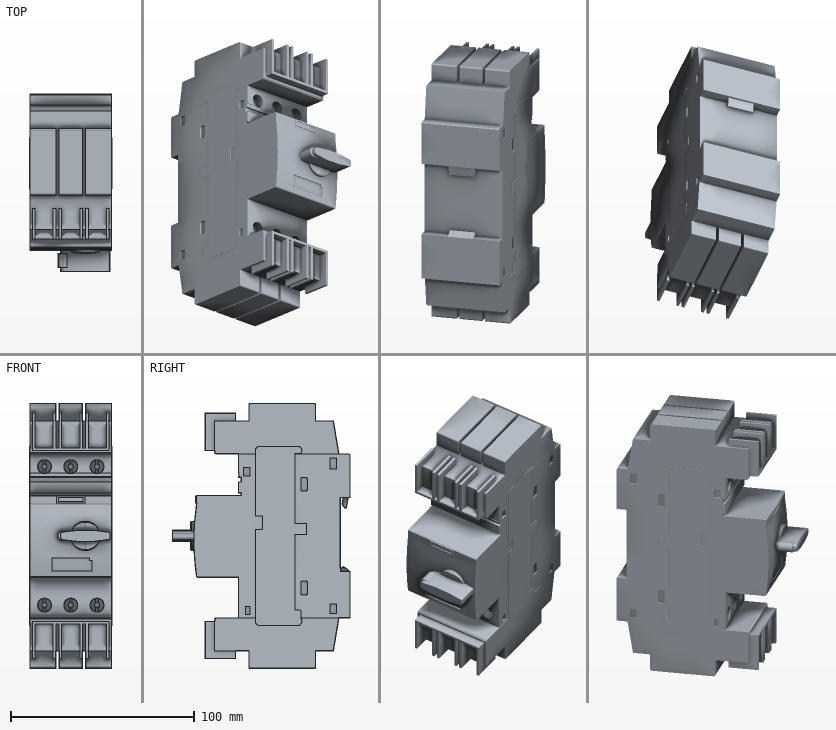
import cadquery as cq


COVER_WIDTH = 45.0
TERMINAL_WIDTH = 44.7
BASE_WIDTH = 44.5

BASE_TOP = 44.7
BASE_FRONT = 60.9
BASE_CHAMFER = 0.6
RAIL_DEPTH = 5.3
RAIL_TOP = 20.8
RAIL_BOTTOM = -19.5
HOOK_WIDTH = 14.5

HOUSING_TOP = 22.1
HOUSING_BOTTOM = -22.5
HOUSING_FACE = 83.7
HOUSING_BULGE = 85.1
HOUSING_CURVE_TOP = 17.5
HOUSING_CHAMFER = 0.5
GROOVE_DEPTH = 1.5
GROOVE_TOP = 32.0
GROOVE_BOTTOM = 29.5
UNDERCUT_HEIGHT = 1.3
STEP_DEPTH = 0.3
STEP_BOTTOM = 32.4
STEP_TOP = 34.3

BLOCK_TOP = 72.3
BLOCK_BACK = 18.8
BLOCK_FRONT = 55.2
BLOCK_FILLET = 0.9
SHOULDER_TOP = 62.7
SHOULDER_BACK = 9.1
SHOULDER_ROOT = 6.0
SHOULDER_FRONT = 73.9
SHOULDER_CHAMFER = 0.7
POLE_GAP = 1.7
POLE_GAP_X = 7.2
POLE_GAP_MARGIN = 0.5

GUARD_BOTTOM = 46.5
GUARD_TOP = 66.9
GUARD_BACK = 62.5
GUARD_FRONT = 79.0
GUARD_HALF_WIDTH = 20.8
GUARD_WALL = 1.5

POLE_PITCH = 14.3
SCREW_Z = 37.7
WELL_RADIUS = 3.8
WELL_DEPTH = 5.8
SCREW_HEAD_HEIGHT = 1.2
SCREW_EAVE = 0.3
SCREW_PIN_RADIUS = 1.5
SCREW_SLOT = 1.5

COVER_BACK = 30.0
COVER_FRONT = 51.5
COVER_TOP = 48.7
COVER_CORNER = 1.2
COVER_FOOT_BACK = 26.7
COVER_FOOT_LIP = 26.2
COVER_FOOT_TIP = 27.5
COVER_LIP_Z = 46.8
COVER_FOOT_Z = 45.0
LOWER_FOOT_TOP = -40.3
FOOT_BEVEL = 0.6
REAR_TAB_DEPTH = 23.8
REAR_TAB_BOTTOM = 0.7
REAR_TAB_TOP = 6.6
FRONT_NOTCH_DEPTH = 47.7
FRONT_NOTCH_BOTTOM = 3.5
FRONT_NOTCH_TOP = 10.8

POCKET_DEPTH = 1.0

HANDLE_X = 8.0
KNOB_RADIUS = 8.0
KNOB_RIM = 0.6
KNOB_EAVE = 86.3
KNOB_CROWN = 87.0
HANDLE_FRONT = 96.8
GRIP_LEFT = -5.5
GRIP_RIGHT = 21.4
GRIP_END_HALF = 1.9
GRIP_MIDDLE_HALF = 3.2
GRIP_CORNER = 0.7
GRIP_TIP_RADIUS = 1.6
PIN_X = -4.3
PIN_FLAT_END = -2.0
PIN_RADIUS = 2.6
PIN_BACK = 87.0
PIN_FRONT = 94.5

NAME_PLATE_WIDTH = 15.3
NAME_PLATE_BOTTOM = 17.9
NAME_PLATE_FRONT = 84.1
NAME_PLATE_BORDER = 0.9
LABEL_LEFT = -10.1
LABEL_RIGHT = 11.7
LABEL_TOP = -12.0
LABEL_BOTTOM = -19.1
LABEL_NOTCH = 1.5
LABEL_RECESS = 0.6


def box(x_range, depth_range, z_range):
    """Box between pairs of X, depth and Z limits."""
    x0, x1 = x_range
    d0, d1 = depth_range
    z0, z1 = z_range
    return cq.Workplane("XY").box(x1 - x0, d1 - d0, z1 - z0, centered=False).translate((x0, -d1, z0))


def slab(depth_z_points, width):
    """Outline of (depth, z) points extruded across the width, centred on X = 0."""
    outline = [(-depth, z) for depth, z in depth_z_points]
    return cq.Workplane("YZ").polyline(outline).close().extrude(width / 2, both=True)


def front_plane(depth):
    """Plane facing the front, with X across and Z up, at the given depth."""
    return cq.Workplane("XZ", origin=(0, -depth, 0))


def ridge(half_width, back, eave, crest):
    """Gabled prism along Z, whose crest on X = 0 stands in front of its eaves."""
    gable = [
        (-half_width, -back),
        (-half_width, -eave),
        (0, -crest),
        (half_width, -eave),
        (half_width, -back),
    ]
    return cq.Workplane("XY").polyline(gable).close().extrude(half_width, both=True)


def full_width(width):
    return (-width / 2, width / 2)


def make_base():
    base = slab(
        [
            (BASE_CHAMFER, BASE_TOP),
            (0, BASE_TOP - BASE_CHAMFER),
            (0, RAIL_TOP),
            (RAIL_DEPTH, RAIL_TOP),
            (RAIL_DEPTH, RAIL_BOTTOM),
            (0, RAIL_BOTTOM),
            (0, -BASE_TOP),
            (BASE_FRONT, -BASE_TOP),
            (BASE_FRONT, BASE_TOP),
        ],
        BASE_WIDTH,
    )
    upper_hook = slab([(1.0, RAIL_TOP), (2.0, 15.3), (3.0, 15.3), (4.3, 17.3), (3.8, RAIL_TOP)], HOOK_WIDTH)
    lower_hook = slab(
        [(0, RAIL_BOTTOM), (3.5, -16.8), (RAIL_DEPTH, -17.8), (RAIL_DEPTH, RAIL_BOTTOM)],
        HOOK_WIDTH,
    )
    return base.union(upper_hook).union(lower_hook)


def make_housing():
    face = -HOUSING_FACE
    curve_middle = (HOUSING_CURVE_TOP + HOUSING_BOTTOM) / 2
    inside = -BASE_FRONT + GROOVE_DEPTH
    return (
        cq.Workplane("YZ")
        .moveTo(inside, HOUSING_TOP)
        .lineTo(face + HOUSING_CHAMFER, HOUSING_TOP)
        .lineTo(face, HOUSING_TOP - HOUSING_CHAMFER)
        .lineTo(face, HOUSING_CURVE_TOP)
        .threePointArc((-HOUSING_BULGE, curve_middle), (face, HOUSING_BOTTOM + HOUSING_CHAMFER))
        .lineTo(face + HOUSING_CHAMFER, HOUSING_BOTTOM)
        .lineTo(inside, HOUSING_BOTTOM)
        .close()
        .extrude(BASE_WIDTH / 2, both=True)
    )


def make_front_grooves():
    depths = (BASE_FRONT - GROOVE_DEPTH, BASE_FRONT)
    groove = box(full_width(BASE_WIDTH), depths, (GROOVE_BOTTOM, GROOVE_TOP))
    undercut = box(full_width(BASE_WIDTH), depths, (HOUSING_TOP, HOUSING_TOP + UNDERCUT_HEIGHT))
    step = box(full_width(BASE_WIDTH), (BASE_FRONT - STEP_DEPTH, BASE_FRONT), (STEP_BOTTOM, STEP_TOP))
    return groove.union(undercut).union(step)


def make_terminal_block():
    shoulder = slab(
        [
            (SHOULDER_ROOT, BASE_TOP),
            (SHOULDER_BACK, SHOULDER_TOP),
            (SHOULDER_FRONT, SHOULDER_TOP),
            (SHOULDER_FRONT, BASE_TOP + SHOULDER_CHAMFER),
            (SHOULDER_FRONT - SHOULDER_CHAMFER, BASE_TOP),
        ],
        TERMINAL_WIDTH,
    )
    block = box(full_width(TERMINAL_WIDTH), (BLOCK_BACK, BLOCK_FRONT), (BASE_TOP, BLOCK_TOP))
    block = block.edges("|X and >Z").fillet(BLOCK_FILLET)
    terminal = shoulder.union(block)
    for x in (-POLE_GAP_X, POLE_GAP_X):
        gap = box(
            (x - POLE_GAP / 2, x + POLE_GAP / 2),
            (BLOCK_BACK - POLE_GAP_MARGIN, BLOCK_FRONT),
            (SHOULDER_TOP, BLOCK_TOP),
        )
        terminal = terminal.cut(gap)
    return terminal


def make_finger_guard():
    heights = (GUARD_BOTTOM, GUARD_TOP)
    guard = box(
        (-GUARD_HALF_WIDTH, GUARD_HALF_WIDTH),
        (SHOULDER_FRONT, GUARD_FRONT),
        (GUARD_BOTTOM, GUARD_BOTTOM + GUARD_WALL),
    )
    gap_side = POLE_GAP_X + POLE_GAP / 2
    middle_side = POLE_GAP_X - POLE_GAP / 2
    wall_starts = [GUARD_HALF_WIDTH - GUARD_WALL, gap_side, middle_side - GUARD_WALL]
    for start in wall_starts:
        end = start + GUARD_WALL
        for limits in ((start, end), (-end, -start)):
            guard = guard.union(box(limits, (GUARD_BACK, GUARD_FRONT), heights))
    return guard


def make_side_cover():
    """Cover wrapping both sides, with a rear tab, a front notch and a small foot at each end."""
    shoulder = COVER_TOP - COVER_CORNER
    return slab(
        [
            (COVER_FOOT_LIP, COVER_LIP_Z),
            (COVER_FOOT_TIP, COVER_TOP),
            (COVER_FRONT - COVER_CORNER, COVER_TOP),
            (COVER_FRONT, shoulder),
            (COVER_FRONT, FRONT_NOTCH_TOP),
            (FRONT_NOTCH_DEPTH, FRONT_NOTCH_TOP),
            (FRONT_NOTCH_DEPTH, FRONT_NOTCH_BOTTOM),
            (COVER_FRONT, FRONT_NOTCH_BOTTOM),
            (COVER_FRONT, -shoulder),
            (COVER_FRONT - COVER_CORNER, -COVER_TOP),
            (COVER_FOOT_TIP, -COVER_TOP),
            (COVER_FOOT_LIP, -COVER_LIP_Z),
            (COVER_FOOT_BACK, -COVER_FOOT_Z),
            (COVER_FOOT_BACK, LOWER_FOOT_TOP - FOOT_BEVEL),
            (COVER_FOOT_TIP, LOWER_FOOT_TOP),
            (COVER_BACK, LOWER_FOOT_TOP),
            (COVER_BACK, REAR_TAB_BOTTOM),
            (REAR_TAB_DEPTH, REAR_TAB_BOTTOM),
            (REAR_TAB_DEPTH, REAR_TAB_TOP),
            (COVER_BACK, REAR_TAB_TOP),
            (COVER_BACK, COVER_FOOT_Z),
            (COVER_FOOT_BACK, COVER_FOOT_Z),
        ],
        COVER_WIDTH,
    )


def make_side_pockets():
    rear_depths = (7.4, 11.0)
    slot_depths = (23.3, 26.9)
    slot_corner = 1.0
    square_pockets = [
        (rear_depths, (36.5, 42.4)),
        (rear_depths, (-42.4, -37.1)),
        ((54.5, 58.1), (32.7, 37.1)),
        ((54.5, 57.1), (-43.0, -38.6)),
    ]
    slots = [
        (slot_depths, (24.4, 32.0)),
        (slot_depths, (-32.2, -24.5)),
    ]
    side = BASE_WIDTH / 2
    limits = (side - POCKET_DEPTH, side)
    pockets = cq.Workplane("XY")
    for depths, heights in square_pockets:
        pockets = pockets.union(box(limits, depths, heights))
    for depths, heights in slots:
        pockets = pockets.union(box(limits, depths, heights).edges("|X").fillet(slot_corner))
    return pockets.union(pockets.mirror("YZ"))


def make_screw_well():
    """Well with a slotted, ridged screw head and its centre pin left standing at its bottom."""
    floor = BASE_FRONT - WELL_DEPTH
    well = front_plane(floor).circle(WELL_RADIUS).extrude(WELL_DEPTH)
    head = well.intersect(ridge(WELL_RADIUS, floor, floor + SCREW_EAVE, floor + SCREW_HEAD_HEIGHT))
    slot = front_plane(floor).rect(SCREW_SLOT, 2 * WELL_RADIUS).extrude(SCREW_HEAD_HEIGHT)
    pin = front_plane(floor).circle(SCREW_PIN_RADIUS).extrude(SCREW_HEAD_HEIGHT)
    return well.cut(head.cut(slot).union(pin))


def make_knob():
    """Round knob with a bevelled rim and a slightly gabled face."""
    disc = front_plane(HOUSING_FACE).circle(KNOB_RADIUS).extrude(KNOB_CROWN - HOUSING_FACE)
    disc = disc.faces("<Y").chamfer(KNOB_RIM)
    crown = ridge(KNOB_RADIUS, HOUSING_FACE, KNOB_EAVE, KNOB_CROWN)
    return disc.intersect(crown).translate((HANDLE_X, 0, 0))


def make_grip():
    grip = (
        front_plane(HOUSING_BULGE)
        .moveTo(GRIP_LEFT, -GRIP_END_HALF)
        .threePointArc((HANDLE_X, -GRIP_MIDDLE_HALF), (GRIP_RIGHT, -GRIP_END_HALF))
        .lineTo(GRIP_RIGHT, GRIP_END_HALF)
        .threePointArc((HANDLE_X, GRIP_MIDDLE_HALF), (GRIP_LEFT, GRIP_END_HALF))
        .close()
        .extrude(HANDLE_FRONT - HOUSING_BULGE)
        .edges("|Y and >X")
        .fillet(GRIP_CORNER)
        .edges("|Y and <X")
        .fillet(GRIP_TIP_RADIUS)
    )
    pin = front_plane(PIN_BACK).center(PIN_X, 0).circle(PIN_RADIUS).extrude(PIN_FRONT - PIN_BACK)
    pin_flats = box((PIN_X, PIN_FLAT_END), (PIN_BACK, PIN_FRONT), (-PIN_RADIUS, PIN_RADIUS))
    return grip.union(pin).union(pin_flats)


def make_name_plate():
    half = NAME_PLATE_WIDTH / 2
    top = HOUSING_TOP - HOUSING_CHAMFER
    border = NAME_PLATE_BORDER
    plate = box((-half, half), (BASE_FRONT, NAME_PLATE_FRONT), (NAME_PLATE_BOTTOM, top))
    field = box(
        (-half + border, half - border),
        (HOUSING_FACE, NAME_PLATE_FRONT),
        (NAME_PLATE_BOTTOM + border, top - border),
    )
    return plate.cut(field)


def make_label_recess(housing):
    """Layer of the curved front under the label, one corner of which is notched."""
    outline = [
        (LABEL_LEFT, LABEL_TOP),
        (LABEL_RIGHT - LABEL_NOTCH, LABEL_TOP),
        (LABEL_RIGHT - LABEL_NOTCH, LABEL_TOP - LABEL_NOTCH),
        (LABEL_RIGHT, LABEL_TOP - LABEL_NOTCH),
        (LABEL_RIGHT, LABEL_BOTTOM),
        (LABEL_LEFT, LABEL_BOTTOM),
    ]
    label = front_plane(BASE_FRONT).polyline(outline).close().extrude(HOUSING_BULGE - BASE_FRONT)
    return label.cut(housing.translate((0, LABEL_RECESS, 0)))


housing = make_housing()
result = make_base().union(housing).cut(make_front_grooves())
result = result.cut(make_side_pockets())
result = result.cut(make_label_recess(housing)).union(make_name_plate())

screw_well = make_screw_well()
for pole_x in (-POLE_PITCH, 0, POLE_PITCH):
    for screw_z in (-SCREW_Z, SCREW_Z):
        result = result.cut(screw_well.translate((pole_x, 0, screw_z)))

upper_terminals = make_terminal_block().union(make_finger_guard())
result = result.union(upper_terminals).union(upper_terminals.mirror("XY"))
result = result.union(make_side_cover())
result = result.union(make_knob()).union(make_grip())